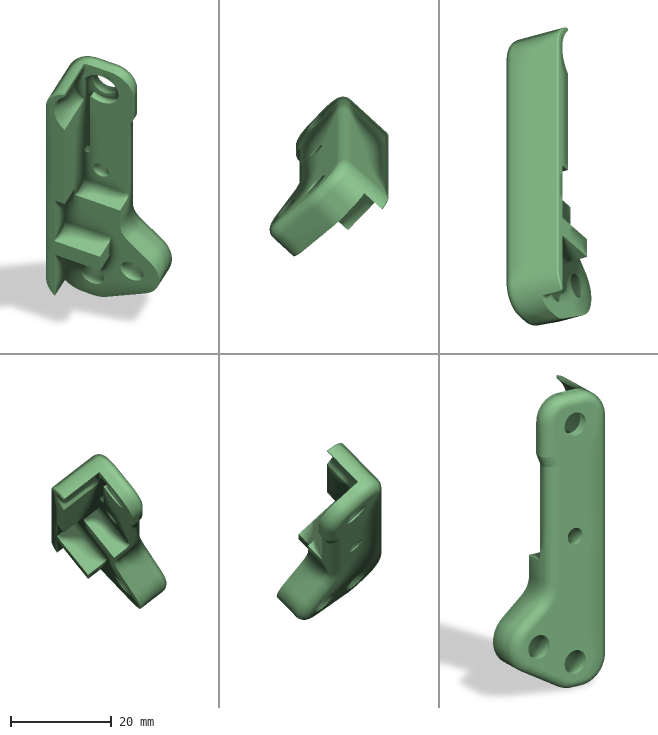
import cadquery as cq
import math

height = 62.75
depth = 12.5

plate_thickness = 3.5
block_thickness = 7.5

corner_radius = 5.95
top_right_radius = 5.0
head_width = 15.0
neck_width = 14.05
head_bottom = 50.75
neck_top = 48.5
neck_fillet = 5.0
flank_angle = math.radians(40)
back_fillet = 2.0

main_hole_x = 8.05
top_hole_z = height - corner_radius
bottom_hole_z = corner_radius
lug_x = 16.7
lug_z = 11.05
main_hole_diameter = 5.0
small_hole_z = 32.9
small_hole_diameter = 3.5

wall_width = 4.2
rim_width = 1.95
wall_step_z = 30.0
block_top = 27.75
rib_bottom = 14.0
rib_top = 18.0
rib_end_x = 12.0
root_fillet = 1.0
rim_chamfer = 0.25

clearance_radius = 6.2
recess_radius = main_hole_x - wall_width
recess_depth = 1.5
slot_right_x = 5.5
slot_bottom = 36.8
slot_corner_radius = 0.55
slot_mouth_radius = 0.4


def polar(x, z, radius, angle):
    """Point at the given radius and angle about (x, z)."""
    return (x + radius * math.cos(angle), z + radius * math.sin(angle))


def outline():
    """Closed silhouette of the part in the XZ plane."""
    r = corner_radius
    diagonal = math.pi / 4
    lower_normal = math.atan2(lug_z - bottom_hole_z, lug_x - main_hole_x) - math.pi / 2
    upper_normal = math.pi / 2 - flank_angle
    flank_top = polar(lug_x, lug_z, r, upper_normal)
    fillet_x = neck_width + neck_fillet
    fillet_end_x = fillet_x - neck_fillet * math.cos(upper_normal)
    fillet_end_z = flank_top[1] + (flank_top[0] - fillet_end_x) * math.tan(flank_angle)
    fillet_z = fillet_end_z + neck_fillet * math.sin(upper_normal)
    right_x = head_width - top_right_radius
    right_z = height - top_right_radius
    return (
        cq.Workplane("XZ")
        .moveTo(0, r)
        .lineTo(0, height - r)
        .threePointArc(polar(r, height - r, r, 3 * diagonal), (r, height))
        .lineTo(right_x, height)
        .threePointArc(polar(right_x, right_z, top_right_radius, diagonal), (head_width, right_z))
        .lineTo(head_width, head_bottom)
        .lineTo(neck_width, neck_top)
        .lineTo(neck_width, fillet_z)
        .threePointArc(
            polar(fillet_x, fillet_z, neck_fillet, math.pi + upper_normal / 2),
            (fillet_end_x, fillet_end_z),
        )
        .lineTo(*flank_top)
        .threePointArc(
            polar(lug_x, lug_z, r, (upper_normal + lower_normal) / 2),
            polar(lug_x, lug_z, r, lower_normal),
        )
        .lineTo(*polar(main_hole_x, bottom_hole_z, r, lower_normal))
        .threePointArc(
            polar(main_hole_x, bottom_hole_z, r, (lower_normal - math.pi / 2) / 2),
            (main_hole_x, 0),
        )
        .lineTo(r, 0)
        .threePointArc(polar(r, r, r, 5 * diagonal), (0, r))
        .close()
    )


def box(x0, x1, front, back, z0, z1):
    """Box whose front and back are distances forward of the back face."""
    return cq.Workplane("XY").box(x1 - x0, front - back, z1 - z0, centered=False).translate((x0, -front, z0))


def disc(x, z, radius, front, back=0.0):
    """Cylinder along Y between two distances forward of the back face."""
    return cq.Workplane("XZ", origin=(0, -back, 0)).center(x, z).circle(radius).extrude(front - back)


def root_edge(x0, x1, level, z):
    """Selector for the inside corner along X at the given level and height."""
    margin = 0.05
    return cq.selectors.BoxSelector(
        (x0 - margin, -level - margin, z - margin),
        (x1 + margin, -level + margin, z + margin),
        boundingbox=True,
    )


envelope = outline().extrude(depth).faces(">Y").edges().fillet(back_fillet)
envelope = envelope.faces("<Y").edges().chamfer(rim_chamfer)

body = envelope.cut(box(wall_width, head_width, depth, plate_thickness, block_top, height))
body = body.cut(box(wall_width, lug_x + corner_radius, depth, block_thickness, 0, block_top))
body = body.cut(box(rim_width, wall_width, depth, block_thickness, 0, wall_step_z))

body = body.union(box(rim_width, rib_end_x, depth, block_thickness, rib_bottom, rib_top))

for x0, x1, level, z in (
    (wall_width, neck_width, plate_thickness, block_top),
    (rim_width, wall_width, block_thickness, wall_step_z),
    (rim_width, rib_end_x, block_thickness, rib_bottom),
    (rim_width, rib_end_x, block_thickness, rib_top),
):
    body = body.edges(root_edge(x0, x1, level, z)).fillet(root_fillet)

body = body.cut(disc(main_hole_x, top_hole_z, clearance_radius, depth, plate_thickness))

recess_floor = plate_thickness - recess_depth
slot = box(wall_width, slot_right_x, plate_thickness, recess_floor, slot_bottom, top_hole_z)
slot = slot.edges("|Y and <Z").fillet(slot_corner_radius)
recess = slot.union(disc(main_hole_x, top_hole_z, recess_radius, plate_thickness, recess_floor))
mouth_z = top_hole_z - math.sqrt(recess_radius**2 - (main_hole_x - slot_right_x) ** 2)
mouth_edge = cq.selectors.NearestToPointSelector((slot_right_x, -(plate_thickness + recess_floor) / 2, mouth_z))
recess = recess.edges("|Y").edges(mouth_edge).fillet(slot_mouth_radius)
body = body.cut(recess)

for x, z, diameter in (
    (main_hole_x, top_hole_z, main_hole_diameter),
    (main_hole_x, bottom_hole_z, main_hole_diameter),
    (lug_x, lug_z, main_hole_diameter),
    (main_hole_x, small_hole_z, small_hole_diameter),
):
    body = body.cut(disc(x, z, diameter / 2, depth))

result = body